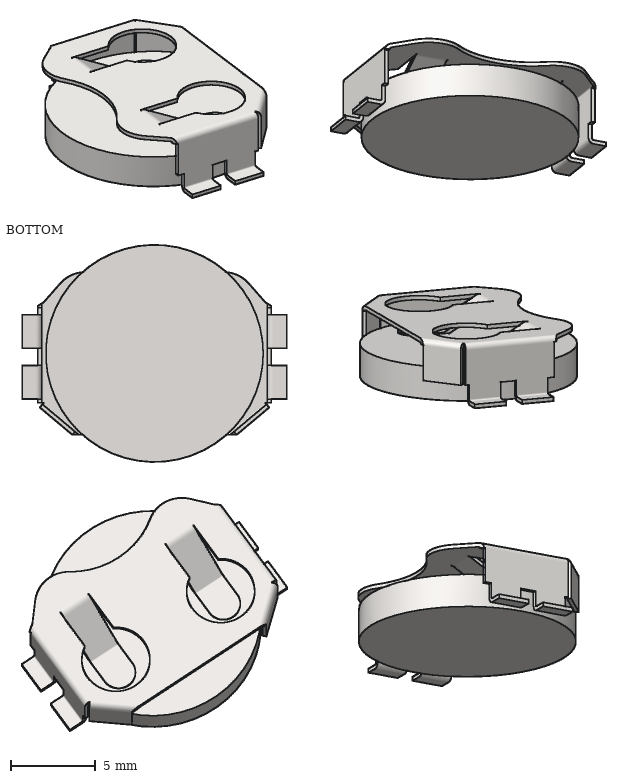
import cadquery as cq
import math

DIAGONAL = math.sqrt(0.5)

cell_diameter = 12.8
cell_height = 2.0

overall_length = 15.6
top_z = 3.7
sheet = 0.25
bend_inner = 0.101
bend_outer = bend_inner + sheet
plate_bottom_z = top_z - sheet
bend_axis_z = top_z - bend_outer

plate_half_width = 6.54
back_y = 4.8
back_corner_y = 2.92
front_corner_y = -3.01
corner_angle = 40.0
lobe_radius = 2.0
lobe_x = 4.05
lobe_y = lobe_radius - back_y
scallop_radius = 4.99

flange_front_y = -2.7
miter_y = -2.8
flange_bottom_z = 1.22
foot_width = 2.0
foot_center_ys = (1.7, -1.3)
flange_outer_x = plate_half_width + bend_outer

arm_x = 3.76
arm_xs = (-arm_x, arm_x)
arm_width = 2.0
arm_clearance = 0.023
arm_root_y = -2.65
arm_tip_y = 2.9
arm_slope = 29.0
arm_root_bend_inner = 0.4
arm_root_bend_outer = arm_root_bend_inner + sheet
arm_tip_rise = 0.08
arm_tip_top_z = cell_height + arm_tip_rise
keyhole_diameter = 4.01
keyhole_y = 1.62


def make_cell():
    """Disc with a shallow recess in its top face for the tip of each spring arm."""
    disc = cq.Workplane("XY").circle(cell_diameter / 2).extrude(cell_height)
    for center_x in arm_xs:
        disc = disc.cut(make_arm(center_x))
    return disc


def on_circle(center, radius, degrees):
    """Point on a circle at an angle counted from the +X direction."""
    angle = math.radians(degrees)
    return (center[0] + radius * math.cos(angle), center[1] + radius * math.sin(angle))


def mirrored(point):
    return (-point[0], point[1])


def make_plate():
    """Flat top with two cut back corners and two front lobes joined by a concave scallop."""
    lobe = (lobe_x, lobe_y)

    corner = (plate_half_width, front_corner_y)
    to_corner_x = corner[0] - lobe_x
    to_corner_y = corner[1] - lobe_y
    corner_distance = math.hypot(to_corner_x, to_corner_y)
    tangent_angle = math.degrees(
        math.atan2(to_corner_y, to_corner_x) - math.acos(lobe_radius / corner_distance)
    )

    center_distance = lobe_radius + scallop_radius
    scallop_half_angle = math.degrees(math.asin(lobe_x / center_distance))
    scallop_center_y = lobe_y - center_distance * math.cos(math.radians(scallop_half_angle))
    scallop_top = (0, scallop_center_y + scallop_radius)

    lobe_start = on_circle(lobe, lobe_radius, tangent_angle)
    lobe_bottom = on_circle(lobe, lobe_radius, -90)
    lobe_end = on_circle(lobe, lobe_radius, -90 - scallop_half_angle)

    corner_run = (back_y - back_corner_y) / math.tan(math.radians(corner_angle))
    back_corner = (plate_half_width - corner_run, back_y)
    side_corner = (plate_half_width, back_corner_y)

    return (
        cq.Workplane("XY", origin=(0, 0, plate_bottom_z))
        .moveTo(*back_corner)
        .lineTo(*side_corner)
        .lineTo(*corner)
        .lineTo(*lobe_start)
        .threePointArc(lobe_bottom, lobe_end)
        .threePointArc(scallop_top, mirrored(lobe_end))
        .threePointArc(mirrored(lobe_bottom), mirrored(lobe_start))
        .lineTo(*mirrored(corner))
        .lineTo(*mirrored(side_corner))
        .lineTo(*mirrored(back_corner))
        .close()
        .extrude(sheet)
    )


def edge_plane(start, outward_angle):
    """Plane across a straight plate edge, for profiles that are extruded along the edge.

    Local X points out of the plate at `outward_angle` from +X, local Y points up, and the
    origin is the bend axis below `start`. The edge runs 90 degrees clockwise of local X.
    """
    outward = math.radians(outward_angle)
    return cq.Plane(
        origin=(start[0], start[1], bend_axis_z),
        xDir=(math.cos(outward), math.sin(outward), 0),
        normal=(math.sin(outward), -math.cos(outward), 0),
    )


def make_edge_bend(start, outward_angle, length):
    """Quarter bend along a plate edge."""
    return (
        cq.Workplane(edge_plane(start, outward_angle))
        .moveTo(0, bend_outer)
        .threePointArc((bend_outer * DIAGONAL, bend_outer * DIAGONAL), (bend_outer, 0))
        .lineTo(bend_inner, 0)
        .threePointArc((bend_inner * DIAGONAL, bend_inner * DIAGONAL), (0, bend_inner))
        .close()
        .extrude(length)
    )


def make_edge_wall(start, outward_angle, length):
    """Square-ended vertical wall hanging from a quarter bend."""
    return (
        cq.Workplane(edge_plane(start, outward_angle))
        .moveTo(bend_inner, 0)
        .lineTo(bend_outer, 0)
        .lineTo(bend_outer, flange_bottom_z - bend_axis_z)
        .lineTo(bend_inner, flange_bottom_z - bend_axis_z)
        .close()
        .extrude(length)
    )


def make_side_flange():
    """Left side wall; its bend runs on to the front corner, where it is mitred."""
    outward_angle = 180
    corner = (-plate_half_width, front_corner_y)
    wall_start = (-plate_half_width, flange_front_y)
    miter = (
        cq.Workplane("XY", origin=(0, 0, bend_axis_z))
        .moveTo(*corner)
        .lineTo(-flange_outer_x, front_corner_y)
        .lineTo(-flange_outer_x, miter_y)
        .close()
        .extrude(bend_outer)
    )
    bend = make_edge_bend(corner, outward_angle, back_corner_y - front_corner_y).cut(miter)
    wall = make_edge_wall(wall_start, outward_angle, back_corner_y - flange_front_y)
    return bend.union(wall)


def make_foot(center_y):
    """Left solder foot: a strip below the side wall, bent outward to lie on Z = 0."""
    inner_x = plate_half_width + bend_inner
    bend_x = inner_x + bend_outer
    return (
        cq.Workplane("XZ", origin=(0, center_y + foot_width / 2, 0))
        .moveTo(-inner_x, flange_bottom_z)
        .lineTo(-inner_x, bend_outer)
        .threePointArc(
            (-bend_x + bend_outer * DIAGONAL, bend_outer - bend_outer * DIAGONAL), (-bend_x, 0)
        )
        .lineTo(-overall_length / 2, 0)
        .lineTo(-overall_length / 2, sheet)
        .lineTo(-bend_x, sheet)
        .threePointArc(
            (-bend_x + bend_inner * DIAGONAL, bend_outer - bend_inner * DIAGONAL),
            (-flange_outer_x, bend_outer),
        )
        .lineTo(-flange_outer_x, flange_bottom_z)
        .close()
        .extrude(foot_width)
    )


def make_corner_flange():
    """Wall below the cut back-left corner; its bend is trimmed flush with the back edge."""
    slant = math.radians(corner_angle)
    outward_angle = 90 + corner_angle
    start = (-plate_half_width, back_corner_y)
    edge_depth = back_y - back_corner_y
    wall_length = (edge_depth - bend_outer * math.cos(slant)) / math.sin(slant)
    bend_length = edge_depth / math.sin(slant)

    behind = (
        cq.Workplane("XY")
        .box(overall_length, overall_length, top_z, centered=(True, False, False))
        .translate((0, back_y, 0))
    )
    bend = make_edge_bend(start, outward_angle, bend_length).cut(behind)
    return bend.union(make_edge_wall(start, outward_angle, wall_length))


def make_keyhole(center_x):
    """Round opening with a slot toward the front that clears a spring arm."""
    slot_width = arm_width + 2 * arm_clearance
    slot = (
        cq.Workplane("XY", origin=(center_x, 0, plate_bottom_z))
        .moveTo(-slot_width / 2, arm_root_y)
        .lineTo(slot_width / 2, arm_root_y)
        .lineTo(slot_width / 2, keyhole_y)
        .lineTo(-slot_width / 2, keyhole_y)
        .close()
        .extrude(sheet)
    )
    round_opening = (
        cq.Workplane("XY", origin=(center_x, keyhole_y, plate_bottom_z))
        .circle(keyhole_diameter / 2)
        .extrude(sheet)
    )
    return slot.union(round_opening)


def make_arm(center_x):
    """Strip that bends down from the plate, slopes to the cell and lies flat, partly sunk into its top."""
    slope = math.radians(arm_slope)
    root_center = (arm_root_y, top_z - arm_root_bend_outer)
    bend_sum = arm_root_bend_outer + bend_inner
    drop = top_z - arm_tip_top_z
    slope_length = (drop - bend_sum * (1 - math.cos(slope))) / math.sin(slope)
    reach = slope_length * math.cos(slope) + bend_sum * math.sin(slope)
    tip_center = (arm_root_y + reach, arm_tip_top_z + bend_inner)

    root_angle = 90 - arm_slope
    root_middle = 90 - arm_slope / 2
    tip_angle = -90 - arm_slope
    tip_middle = -90 - arm_slope / 2
    tip_bottom_z = arm_tip_top_z - sheet

    strip = (
        cq.Workplane("YZ", origin=(center_x - arm_width / 2, 0, 0))
        .moveTo(arm_root_y, top_z)
        .threePointArc(
            on_circle(root_center, arm_root_bend_outer, root_middle),
            on_circle(root_center, arm_root_bend_outer, root_angle),
        )
        .lineTo(*on_circle(tip_center, bend_inner, tip_angle))
        .threePointArc(
            on_circle(tip_center, bend_inner, tip_middle), (tip_center[0], arm_tip_top_z)
        )
        .lineTo(arm_tip_y, arm_tip_top_z)
        .lineTo(arm_tip_y, tip_bottom_z)
        .lineTo(tip_center[0], tip_bottom_z)
        .threePointArc(
            on_circle(tip_center, bend_outer, tip_middle),
            on_circle(tip_center, bend_outer, tip_angle),
        )
        .lineTo(*on_circle(root_center, arm_root_bend_inner, root_angle))
        .threePointArc(
            on_circle(root_center, arm_root_bend_inner, root_middle),
            (arm_root_y, plate_bottom_z),
        )
        .close()
        .extrude(arm_width)
    )
    tip_radius = arm_width / 2
    rounded_outline = (
        cq.Workplane("XY", origin=(center_x, 0, 0))
        .moveTo(-tip_radius, arm_root_y)
        .lineTo(tip_radius, arm_root_y)
        .lineTo(tip_radius, arm_tip_y - tip_radius)
        .threePointArc((0, arm_tip_y), (-tip_radius, arm_tip_y - tip_radius))
        .close()
        .extrude(top_z)
    )
    return strip.intersect(rounded_outline)


def make_holder():
    left_parts = [make_side_flange(), make_corner_flange()]
    left_parts += [make_foot(y) for y in foot_center_ys]

    holder = make_plate()
    for part in left_parts:
        holder = holder.union(part).union(part.mirror("YZ"))
    for center_x in arm_xs:
        holder = holder.cut(make_keyhole(center_x)).union(make_arm(center_x))
    return holder


cell = make_cell()
holder = make_holder()
result = cq.Compound.makeCompound([cell.val(), holder.val()])